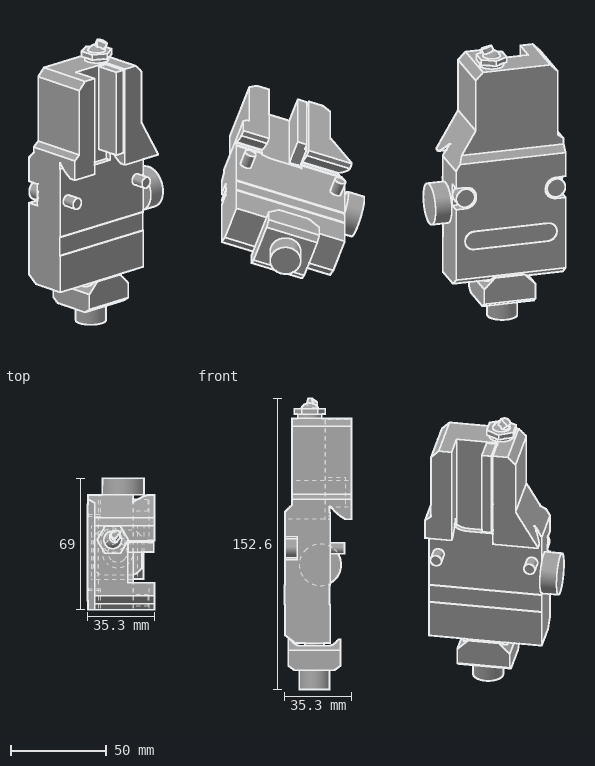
import cadquery as cq

body_width = 60.1
body_bottom = 24.4
body_top = 142.1
back_face = 23.8
hook_face = 35.0

head_front = 3.2
head_back = 48.2
top_chamfer = 4.1
front_step_top = 102.4
front_step_bottom = 99.8
slope_top = 109.7
slope_bottom = 89.6

head_setback = 3.7
setback_top = 96.8
setback_bottom = 93.2
bottom_chamfer_depth = 5.3
bottom_chamfer_top = 28.5
relief_depth = 0.5
hook_root = 95.8
hook_bulge = (28.1, 91.5)
hook_tip = (31.7, 89.1)
hook_bottom = hook_tip[1]
hook_relief_bottom = 92.6
lower_relief_top = 54.8
lower_relief_bottom = 44.5

slot_floor_x = 20.8
slot_front = 14.2
slot_back = 36.2
slot_ramp_end = 20.1
slot_ramp_radius = 10.7
leaf_start = 21.2
leaf_end = 34.5
leaf_front = 30.2
leaf_back = 35.3
leaf_drop = 0.5
web_end = 31.5
web_height = 15.3

pin_z = 74.0
pin_edge_distance = 5.2
pin_head_diameter = 10.0
pin_tip_diameter = 6.0
pin_tip_end = 31.3
pin_recess_diameter = 11.9
pin_recess_depth = 6.5

pad_length = 50.4
pad_height = 10.0
pad_thickness = 0.3
pad_z = 49.8

knob_diameter = 22.0
knob_length = 8.9
knob_x = 18.5
knob_z = 65.5

jaw_x = 15.4
jaw_y = body_width / 2
jaw_half_width = 13.7
jaw_half_length = 14.0
jaw_half_top_length = 8.2
jaw_bottom = 10.0
jaw_chamfer_top = 12.5
jaw_chamfer_width = 3.4
jaw_shoulder = 20.8
jaw_top = 26.5
jaw_notch_floor = 23.0
jaw_notch_half_floor = 9.5
jaw_notch_half_top = 12.8
jaw_notch_fillet = 5.3
screw_diameter = 16.0
neck_diameter = 10.0

switch_x = 13.0
switch_y = 36.6
collar_diameter = 12.7
collar_height = 2.1
nut_corner_diameter = 16.3
nut_height = 2.9
dome_diameter = 10.0
dome_center_z = 145.1
lever_diameter = 5.6
lever_direction = (0.28, 0.35, 1.0)
lever_length = 7.2
lever_bevel_width = 2.1
lever_bevel_depth = 3.7
overall_height = 152.6


def box(x_range, y_range, z_range):
    """Axis-aligned block from its three coordinate ranges."""
    return cq.Workplane("XY").box(
        x_range[1] - x_range[0], y_range[1] - y_range[0], z_range[1] - z_range[0], centered=False
    ).translate((x_range[0], y_range[0], z_range[0]))


def rod_along_x(diameter, start, end, y, z):
    """Round bar parallel to X."""
    return cq.Workplane("YZ", origin=(start, y, z)).circle(diameter / 2).extrude(end - start)


def rod_along_z(diameter, start, end, x, y):
    """Round bar parallel to Z."""
    return cq.Workplane("XY", origin=(x, y, start)).circle(diameter / 2).extrude(end - start)


def make_body():
    """Body block: the YZ outline extruded along X, crossed with the XZ outline extruded along Y."""
    outline_yz = (
        cq.Workplane("YZ")
        .polyline([
            (0, body_bottom),
            (body_width, body_bottom),
            (body_width, slope_bottom),
            (head_back, slope_top),
            (head_back, body_top - top_chamfer),
            (head_back - top_chamfer, body_top),
            (head_front + top_chamfer, body_top),
            (head_front, body_top - top_chamfer),
            (head_front, front_step_top),
            (0, front_step_bottom),
        ])
        .close()
        .extrude(hook_face)
    )
    relief_x = back_face - relief_depth
    outline_xz = (
        cq.Workplane("XZ")
        .moveTo(bottom_chamfer_depth, body_bottom)
        .lineTo(0, bottom_chamfer_top)
        .lineTo(0, setback_bottom)
        .lineTo(head_setback, setback_top)
        .lineTo(head_setback, body_top)
        .lineTo(hook_face, body_top)
        .lineTo(hook_face, hook_bottom)
        .lineTo(*hook_tip)
        .threePointArc(hook_bulge, (back_face, hook_root))
        .lineTo(relief_x, hook_root)
        .lineTo(relief_x, hook_relief_bottom)
        .lineTo(back_face, hook_relief_bottom)
        .lineTo(back_face, lower_relief_top)
        .lineTo(relief_x, lower_relief_top)
        .lineTo(relief_x, lower_relief_bottom)
        .lineTo(back_face, lower_relief_bottom)
        .lineTo(back_face, body_bottom)
        .close()
        .extrude(-body_width)
    )
    return outline_yz.intersect(outline_xz)


def make_slot():
    """Slot cutter, open to the top and back, with a floor ramp that stops at the back face."""
    ramp_run = slot_ramp_end - slot_front
    ramp_rise = slot_ramp_radius - (slot_ramp_radius**2 - ramp_run**2) ** 0.5
    return (
        cq.Workplane("YZ", origin=(slot_floor_x, 0, 0))
        .moveTo(slot_front, body_top)
        .lineTo(slot_front, hook_bottom + ramp_rise)
        .radiusArc((slot_ramp_end, hook_bottom), -slot_ramp_radius)
        .lineTo(slot_back, hook_bottom)
        .lineTo(slot_back, body_top)
        .close()
        .extrude(hook_face - slot_floor_x)
        .union(box((back_face, hook_face), (slot_front, slot_back), (hook_bottom, body_top)))
    )


def make_leaf():
    """Latch leaf in the slot, tied to the slot wall by a low web."""
    leaf = box((leaf_start, leaf_end), (leaf_front, leaf_back), (hook_root, body_top - leaf_drop))
    web = box((slot_floor_x, web_end), (leaf_back, slot_back), (hook_root, hook_root + web_height))
    return leaf.union(web)


def make_pin_recess(pin_y, edge_y):
    """Round-ended recess cutter running out through the nearest side edge."""
    round_end = rod_along_x(pin_recess_diameter, 0, pin_recess_depth, pin_y, pin_z)
    radius = pin_recess_diameter / 2
    y_range = (min(pin_y, edge_y), max(pin_y, edge_y))
    return round_end.union(box((0, pin_recess_depth), y_range, (pin_z - radius, pin_z + radius)))


def make_pin(pin_y):
    """Cross pin: head in the recess and tip standing out of the back face."""
    head = rod_along_x(pin_head_diameter, 0, pin_recess_depth, pin_y, pin_z)
    tip = rod_along_x(pin_tip_diameter, pin_recess_depth, pin_tip_end, pin_y, pin_z)
    return head.union(tip)


def make_pad():
    """Oblong pad raised from the outer face."""
    return (
        cq.Workplane("YZ", origin=(-pad_thickness, body_width / 2, pad_z))
        .slot2D(pad_length, pad_height)
        .extrude(pad_thickness)
    )


def make_knob():
    """Round knob on the +Y side."""
    return (
        cq.Workplane("XZ", origin=(knob_x, body_width, knob_z))
        .circle(knob_diameter / 2)
        .extrude(-knob_length)
    )


def make_jaw_notch():
    """Flared notch between the jaw horns, rounded along both sides of its floor."""
    return (
        cq.Workplane("XZ", origin=(jaw_x, jaw_y + jaw_half_length, 0))
        .polyline([
            (-jaw_notch_half_floor, jaw_notch_floor),
            (jaw_notch_half_floor, jaw_notch_floor),
            (jaw_notch_half_top, jaw_top),
            (-jaw_notch_half_top, jaw_top),
        ])
        .close()
        .extrude(2 * jaw_half_length)
        .faces("<Z")
        .edges("|Y")
        .fillet(jaw_notch_fillet)
    )


def make_jaw():
    """Clamp jaw with two horns, hung on a neck and driven by a screw."""
    outline_xz = (
        cq.Workplane("XZ", origin=(jaw_x, jaw_y + jaw_half_length, 0))
        .polyline([
            (-jaw_half_width + jaw_chamfer_width, jaw_bottom),
            (jaw_half_width - jaw_chamfer_width, jaw_bottom),
            (jaw_half_width, jaw_chamfer_top),
            (jaw_half_width, jaw_top),
            (-jaw_half_width, jaw_top),
            (-jaw_half_width, jaw_chamfer_top),
        ])
        .close()
        .extrude(2 * jaw_half_length)
    )
    outline_yz = (
        cq.Workplane("YZ", origin=(jaw_x - jaw_half_width, jaw_y, 0))
        .polyline([
            (-jaw_half_length, jaw_bottom),
            (jaw_half_length, jaw_bottom),
            (jaw_half_length, jaw_shoulder),
            (jaw_half_top_length, jaw_top),
            (-jaw_half_top_length, jaw_top),
            (-jaw_half_length, jaw_shoulder),
        ])
        .close()
        .extrude(2 * jaw_half_width)
    )
    screw = rod_along_z(screw_diameter, 0, jaw_bottom, jaw_x, jaw_y)
    neck = rod_along_z(neck_diameter, jaw_notch_floor, body_bottom, jaw_x, jaw_y)
    jaw = outline_xz.intersect(outline_yz).cut(make_jaw_notch())
    return jaw.union(screw).union(neck)


def make_lever():
    """Tilted lever stub with one bevelled side at its end."""
    along_x, along_y, _ = lever_direction
    axis_plane = cq.Plane(
        origin=(switch_x, switch_y, dome_center_z),
        xDir=(along_y, -along_x, 0),
        normal=lever_direction,
    )
    radius = lever_diameter / 2
    stub = cq.Workplane(axis_plane).circle(radius).extrude(lever_length)
    bevel = (
        cq.Workplane(axis_plane)
        .transformed(rotate=(90, 0, 0))
        .polyline([
            (radius, lever_length),
            (radius - lever_bevel_width, lever_length),
            (radius, lever_length - lever_bevel_depth),
        ])
        .close()
        .extrude(radius, both=True)
    )
    top_limit = box(
        (switch_x - dome_diameter, switch_x + dome_diameter),
        (switch_y - dome_diameter, switch_y + dome_diameter),
        (body_top, overall_height),
    )
    return stub.cut(bevel).intersect(top_limit)


def make_switch():
    """Toggle switch: collar, hexagon nut, dome and lever."""
    nut_bottom = body_top + collar_height
    collar = rod_along_z(collar_diameter, body_top, nut_bottom, switch_x, switch_y)
    nut = (
        cq.Workplane("XY", origin=(switch_x, switch_y, nut_bottom))
        .polygon(6, nut_corner_diameter)
        .extrude(nut_height)
    )
    dome = cq.Workplane("XY", origin=(switch_x, switch_y, dome_center_z)).sphere(dome_diameter / 2)
    return collar.union(nut).union(dome).union(make_lever())


result = make_body().cut(make_slot()).union(make_leaf())

for pin_y, edge_y in (
    (pin_edge_distance, 0),
    (body_width - pin_edge_distance, body_width),
):
    result = result.cut(make_pin_recess(pin_y, edge_y)).union(make_pin(pin_y))

for attachment in (make_pad(), make_knob(), make_jaw(), make_switch()):
    result = result.union(attachment)